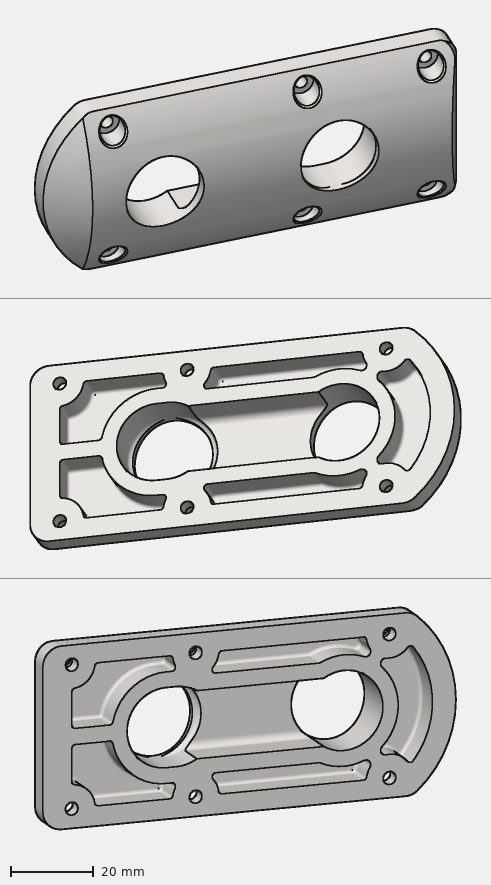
import cadquery as cq
import math

length = 106.8
width = 46.0
height = 13.0
through_depth = height + 1.1
rear_y = length / 2
half_width = width / 2

side_height = 5.3
bevel_height = 5.5
bevel_run = 3.8
crown_rise = height - side_height
crown_radius = (half_width**2 + crown_rise**2) / (2 * crown_rise)
crown_center_x = height - crown_radius
dome_start = 18.7

nose_radius = 28.9
nose_y = nose_radius - length / 2
corner_radius = 4.8

opening_radius = 10.0
rear_opening_y = 20.6
recess_rear_y = 21.6
recess_front_y = 18.9
recess_depth = 11.3
channel_half_width = 8.5
channel_depth = 9.7
channel_fillet = 2.0

screw_ys = (45.9, 13.9, -36.2)
screw_z = 18.0
screw_diameter = 3.2
head_diameter = 6.4
head_seat_x = 4.0
head_chamfer = 0.4

pocket_depth = 7.5
pocket_corner = 1.0
pocket_fillet = 0.91
neck_fillet = 1.3
wall = 4.0
post_radius = 6.0
pocket_half_width = 17.9
rib_half_width = 2.0
nose_rim = 6.1
boss_radius = opening_radius + wall
rear_screw_y, middle_screw_y, front_screw_y = screw_ys


def block(depth, y_min, y_max, z_min, z_max):
    """Box from the mounting face up to the given depth."""
    return cq.Workplane("XY").box(depth, y_max - y_min, z_max - z_min, centered=False).translate((0, y_min, z_min))


def disc(depth, radius, y, z=0):
    """Cylinder along X standing on the mounting face."""
    return cq.Workplane("YZ").center(y, z).circle(radius).extrude(depth)


def elongated_disc(depth, radius):
    """Rear recess shape: two discs joined by straight flanks."""
    middle = block(depth, recess_front_y, recess_rear_y, -radius, radius)
    return middle.union(disc(depth, radius, recess_front_y)).union(disc(depth, radius, recess_rear_y))


def make_body():
    """Outline with a rounded nose, topped by a cylinder, a spherical dome and a rear bevel."""
    nose_run = math.sqrt(nose_radius**2 - half_width**2)
    outline = (
        cq.Workplane("YZ")
        .moveTo(rear_y, -half_width)
        .lineTo(rear_y, half_width)
        .lineTo(nose_y - nose_run, half_width)
        .threePointArc((nose_y - nose_radius, 0), (nose_y - nose_run, -half_width))
        .close()
        .extrude(height)
        .edges("|X")
        .fillet(corner_radius)
    )

    crown_axis = ((crown_center_x, 0, 0), (crown_center_x, 1, 0))
    crown = (
        cq.Workplane("XZ", origin=(0, rear_y, 0))
        .center(crown_center_x, 0)
        .circle(crown_radius)
        .extrude(length)
        .rotate(*crown_axis, 180)
    )
    dome_radius = math.hypot(crown_radius, dome_start)
    dome = cq.Workplane("XY").sphere(dome_radius).rotate((0, 0, 0), (0, 0, 1), 180)
    dome = dome.translate((crown_center_x, nose_y, 0))
    behind_nose = block(height, nose_y, rear_y, -half_width, half_width)
    body = outline.intersect(crown).intersect(dome.union(behind_nose))

    bevel_rise = height - bevel_height
    bevel_angle = math.degrees(math.atan2(bevel_run, bevel_rise))
    lower = block(bevel_height, nose_y, rear_y, -half_width, half_width)
    rounded_plate = cq.Sketch().rect(length, width).vertices().fillet(corner_radius)
    upper = (
        cq.Workplane("YZ", origin=(bevel_height, 0, 0))
        .placeSketch(rounded_plate)
        .extrude(bevel_rise, taper=bevel_angle)
    )
    nose = block(height, -rear_y, nose_y, -half_width, half_width)
    return body.intersect(lower.union(upper).union(nose))


def make_openings():
    """Two through holes, the filleted rear recess and the filleted channel."""
    channel = block(channel_depth, nose_y, rear_opening_y, -channel_half_width, channel_half_width)
    channel = channel.edges("|Y and >X").fillet(channel_fillet)
    recess = elongated_disc(recess_depth, opening_radius).faces(">X").edges().fillet(channel_fillet)
    openings = channel.union(recess)
    for y in (rear_opening_y, nose_y):
        openings = openings.union(disc(through_depth, opening_radius, y))
    return openings


def finish_pocket(shape):
    """Round the upright corners, then the floor edges."""
    shape = shape.edges("|X").fillet(pocket_corner)
    return shape.faces(">X").edges().fillet(pocket_fillet)


def neck_centers():
    """Centres of the two arcs touching both the front boss and the upper front post, inner arc first."""
    run = front_screw_y - nose_y
    span = math.hypot(run, screw_z)
    to_boss = boss_radius + neck_fillet
    to_post = post_radius + neck_fillet
    along = (to_boss**2 - to_post**2 + span**2) / (2 * span)
    across = math.sqrt(to_boss**2 - along**2)
    unit_y = run / span
    unit_z = screw_z / span
    centers = []
    for side in (-across, across):
        y = nose_y + along * unit_y + side * unit_z
        z = along * unit_z - side * unit_y
        centers.append((y, z))
    return sorted(centers)


def make_neck():
    """Web joining the front boss to the upper front post, waisted by the two arcs."""
    first, second = neck_centers()
    neck = (
        cq.Workplane("YZ")
        .polyline([(nose_y, 0), first, (front_screw_y, screw_z), second])
        .close()
        .extrude(height)
    )
    for y, z in (first, second):
        neck = neck.cut(disc(height, neck_fillet, y, z))
    return neck


def make_islands():
    """Material left standing around the openings and the screws."""
    islands = elongated_disc(height, boss_radius).union(disc(height, boss_radius, nose_y))
    neck = make_neck()
    islands = islands.union(neck).union(neck.mirror("XY"))
    for y in screw_ys:
        for z in (screw_z, -screw_z):
            islands = islands.union(disc(height, post_radius, y, z))
    return islands


def make_pockets():
    """Rear and side pockets mirrored about the centre plane, plus one in the nose."""
    rear = block(pocket_depth, middle_screw_y, rear_screw_y, rib_half_width, pocket_half_width)
    side_inner_z = channel_half_width + wall
    side = block(pocket_depth, front_screw_y, middle_screw_y, side_inner_z, pocket_half_width)

    nose_tip_y = neck_centers()[0][0] + neck_fillet
    nose = block(pocket_depth, -rear_y, front_screw_y, -half_width, half_width)
    nose = nose.union(block(pocket_depth, front_screw_y, nose_tip_y, -screw_z, screw_z))
    nose = nose.intersect(disc(pocket_depth, nose_radius - nose_rim, nose_y))

    islands = make_islands()
    rear, side, nose = [finish_pocket(shape.cut(islands)) for shape in (rear, side, nose)]
    return [nose, rear, rear.mirror("XY"), side, side.mirror("XY")]


def cut_screw_holes(body):
    """Counterbored holes with a chamfered rim on the crowned face."""
    for y in screw_ys:
        for z in (screw_z, -screw_z):
            head = disc(height, head_diameter / 2, y, z).translate((head_seat_x, 0, 0))
            body = body.cut(head)
            rim = cq.selectors.NearestToPointSelector((height, y, z))
            near_hole = cq.selectors.BoxSelector(
                (side_height, y - head_diameter, z - head_diameter),
                (height, y + head_diameter, z + head_diameter),
            )
            body = body.edges(near_hole).edges(rim).chamfer(head_chamfer)
            body = body.cut(disc(height, screw_diameter / 2, y, z))
    return body


result = make_body().cut(make_openings())
for pocket in make_pockets():
    result = result.cut(pocket)
result = cut_screw_holes(result)